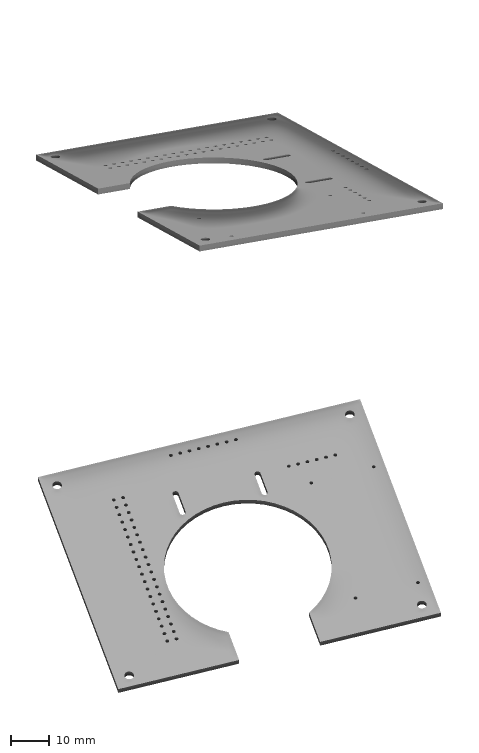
import cadquery as cq

LENGTH = 88.0
WIDTH = 73.0
THICKNESS = 1.6
LEFT_EDGE_STEP = 0.5

WINDOW_DIAMETER = 43.9
WINDOW_Y = -7.5
MOUTH_WIDTH = 22.0

CORNER_HOLE_DIAMETER = 2.5
CORNER_HOLE_MARGIN = 4.0

SLOT_LENGTH = 8.0
SLOT_WIDTH = 1.6
SLOT_SPACING = 22.4
SLOT_PAIR_CENTRE = (0.05, 17.7)

PIN_DIAMETER = 1.0
PIN_PITCH = 2.54
SIDE_HEADER_PINS = 20
SIDE_HEADER_ROWS = 2
SIDE_HEADER_CENTRE = (-25.93, -0.5)
BACK_HEADER_PINS = 8
BACK_HEADER_CENTRE = (0.2, 33.25)
RIGHT_HEADER_PINS = 6
RIGHT_HEADER_CENTRE = (26.15, 20.9)
MODULE_HOLES = [(23.85, 14.0), (41.0, 14.3), (24.0, -25.4), (41.1, -25.3)]

FRONT_Y = -WIDTH / 2


def make_plate():
    """Rectangular plate resting on Z = 0."""
    return cq.Workplane("XY").box(LENGTH, WIDTH, THICKNESS, centered=(True, True, False))


def through_cutter():
    """Workplane on the plate's underside from which cutters are extruded."""
    return cq.Workplane("XY")


def cut_window(plate):
    """Round window, open to the front edge through a straight mouth."""
    window = through_cutter().center(0, WINDOW_Y).circle(WINDOW_DIAMETER / 2).extrude(THICKNESS)
    mouth_depth = WINDOW_Y - FRONT_Y
    mouth = (
        through_cutter()
        .center(0, FRONT_Y + mouth_depth / 2)
        .rect(MOUTH_WIDTH, mouth_depth)
        .extrude(THICKNESS)
    )
    return plate.cut(window).cut(mouth)


def cut_left_edge_step(plate):
    """Set back the front edge on the left of the mouth."""
    strip = (
        through_cutter()
        .moveTo(-LENGTH / 2, FRONT_Y)
        .rect(LENGTH / 2, LEFT_EDGE_STEP, centered=False)
        .extrude(THICKNESS)
    )
    return plate.cut(strip)


def cut_slots(plate):
    """Pair of round-ended slots running along Y."""
    half_spacing = SLOT_SPACING / 2
    slots = (
        through_cutter()
        .center(*SLOT_PAIR_CENTRE)
        .pushPoints([(-half_spacing, 0), (half_spacing, 0)])
        .slot2D(SLOT_LENGTH, SLOT_WIDTH, angle=90)
        .extrude(THICKNESS)
    )
    return plate.cut(slots)


def cut_holes(plate, points, diameter):
    """Round through holes at the given points."""
    return plate.cut(through_cutter().pushPoints(points).circle(diameter / 2).extrude(THICKNESS))


def pin_grid(centre, columns, rows):
    """Pin positions of a header, evenly pitched about its centre."""
    x_start = centre[0] - (columns - 1) * PIN_PITCH / 2
    y_start = centre[1] - (rows - 1) * PIN_PITCH / 2
    return [
        (x_start + column * PIN_PITCH, y_start + row * PIN_PITCH)
        for column in range(columns)
        for row in range(rows)
    ]


def corner_points():
    """Centres of the four corner holes."""
    x = LENGTH / 2 - CORNER_HOLE_MARGIN
    y = WIDTH / 2 - CORNER_HOLE_MARGIN
    return [(-x, -y), (x, -y), (-x, y), (x, y)]


pin_points = (
    pin_grid(SIDE_HEADER_CENTRE, SIDE_HEADER_ROWS, SIDE_HEADER_PINS)
    + pin_grid(BACK_HEADER_CENTRE, BACK_HEADER_PINS, 1)
    + pin_grid(RIGHT_HEADER_CENTRE, RIGHT_HEADER_PINS, 1)
    + MODULE_HOLES
)

result = make_plate()
result = cut_window(result)
result = cut_left_edge_step(result)
result = cut_slots(result)
result = cut_holes(result, corner_points(), CORNER_HOLE_DIAMETER)
result = cut_holes(result, pin_points, PIN_DIAMETER)